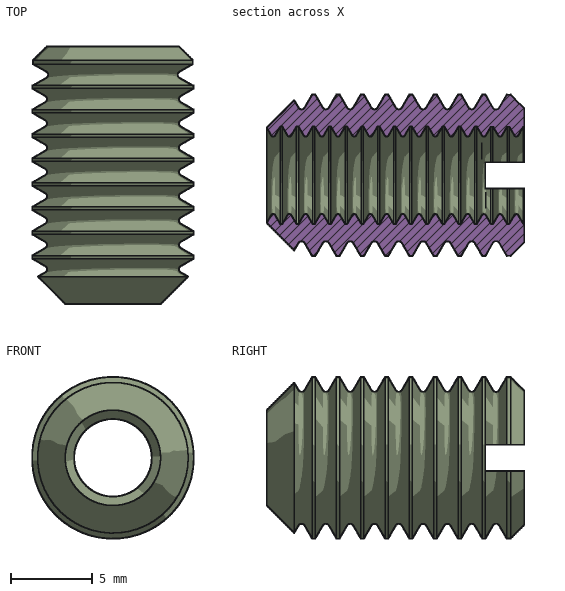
import cadquery as cq
import math


NOMINAL_LENGTH = 16.0
OUTER_DIAMETER = 10.0
OUTER_PITCH = 1.5
BORE_DIAMETER = 6.0
BORE_PITCH = 1.0
POINT_RADIUS = 2.85
HEAD_CHAMFER = 0.85
SLOT_WIDTH = 1.6
SLOT_DEPTH = 2.4

CREST_FRACTION = 1 / 8
TRIANGLE_FRACTION = math.sqrt(3) / 2
DEPTH_FRACTION = TRIANGLE_FRACTION * 17 / 24
ROOT_RADIUS_FRACTION = TRIANGLE_FRACTION / 6
FLANK_ANGLE = math.radians(30)

outer_radius = OUTER_DIAMETER / 2
bore_radius = BORE_DIAMETER / 2


def revolve(profile):
    """Turn a closed profile in the XY plane, X being the radius, about the Y axis."""
    return profile.close().revolve(360, (0, 0, 0), (0, 1, 0))


def root_points(major_radius, pitch, center):
    """Thread root at an axial position: arc start, deepest point and arc end."""
    root_radius = pitch * ROOT_RADIUS_FRACTION
    deepest = major_radius - pitch * DEPTH_FRACTION
    half_width = root_radius * math.cos(FLANK_ANGLE)
    tangent_radius = deepest + root_radius * (1 - math.sin(FLANK_ANGLE))
    return (
        (tangent_radius, center - half_width),
        (deepest, center),
        (tangent_radius, center + half_width),
    )


def make_blank():
    """Solid body with a cone point at the tip and a chamfer at the slotted end."""
    point_length = outer_radius - POINT_RADIUS
    return revolve(
        cq.Workplane("XY")
        .moveTo(0, 0)
        .lineTo(POINT_RADIUS, 0)
        .lineTo(outer_radius, point_length)
        .lineTo(outer_radius, NOMINAL_LENGTH - HEAD_CHAMFER)
        .lineTo(outer_radius - HEAD_CHAMFER, NOMINAL_LENGTH)
        .lineTo(0, NOMINAL_LENGTH)
    )


def make_outer_groove(center):
    """Ring with the shape of one outer thread groove."""
    half_opening = OUTER_PITCH * (1 - CREST_FRACTION) / 2
    start, deepest, end = root_points(outer_radius, OUTER_PITCH, center)
    return revolve(
        cq.Workplane("XY")
        .moveTo(outer_radius, center - half_opening)
        .lineTo(*start)
        .threePointArc(deepest, end)
        .lineTo(outer_radius, center + half_opening)
    )


def make_bore():
    """Threaded core that leaves the bore: one crest per pitch, with rounded roots between."""
    half_crest = BORE_PITCH * CREST_FRACTION / 2
    root_count = round(NOMINAL_LENGTH / BORE_PITCH)
    profile = cq.Workplane("XY").moveTo(0, 0).lineTo(bore_radius, 0)
    for index in range(root_count):
        crest = index * BORE_PITCH
        next_crest = crest + BORE_PITCH
        start, deepest, end = root_points(bore_radius, BORE_PITCH, (crest + next_crest) / 2)
        profile = (
            profile.lineTo(bore_radius, crest + half_crest)
            .lineTo(*start)
            .threePointArc(deepest, end)
            .lineTo(bore_radius, next_crest - half_crest)
        )
    return revolve(profile.lineTo(bore_radius, NOMINAL_LENGTH).lineTo(0, NOMINAL_LENGTH))


def make_slot():
    """Screwdriver slot across the full diameter, along X."""
    slot_center = NOMINAL_LENGTH - SLOT_DEPTH / 2
    return cq.Workplane("XY").box(OUTER_DIAMETER, SLOT_DEPTH, SLOT_WIDTH).translate((0, slot_center, 0))


FIRST_GROOVE = 1
last_groove = int((NOMINAL_LENGTH - HEAD_CHAMFER) / OUTER_PITCH) - 1

result = make_blank()
for groove in range(FIRST_GROOVE, last_groove + 1):
    result = result.cut(make_outer_groove((groove + 0.5) * OUTER_PITCH))
result = result.cut(make_bore()).cut(make_slot())